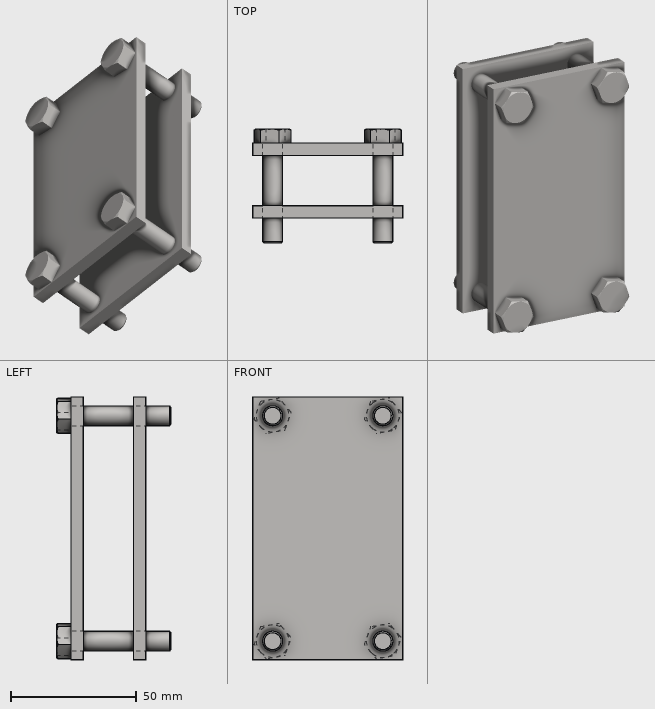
import cadquery as cq
import math

plate_width = 60.0
plate_height = 105.0
plate_thickness = 5.0
plate_gap = 20.0

bolt_spacing_x = 44.0
bolt_spacing_z = 90.0

shank_diameter = 8.0
shank_length = 40.0
tip_chamfer = 0.6
head_height = 5.7
head_across_flats = 13.0
head_bevel_angle = 30.0
bolt_turn = 10.0

back_plate_front_y = plate_thickness + plate_gap
back_plate_back_y = back_plate_front_y + plate_thickness

bolt_centres = [
    (side_x * bolt_spacing_x / 2, side_z * bolt_spacing_z / 2)
    for side_x in (-1, 1)
    for side_z in (-1, 1)
]


def make_plate(front_y):
    """Rectangular plate with four through holes, its front face at front_y."""
    return (
        cq.Workplane("XZ", origin=(0, front_y, 0))
        .rect(plate_width, plate_height)
        .pushPoints(bolt_centres)
        .circle(shank_diameter / 2)
        .extrude(-plate_thickness)
    )


def make_head():
    """Hexagonal head behind Y = 0, its corners bevelled at the back face."""
    corner_radius = head_across_flats / math.sqrt(3)
    face_radius = head_across_flats / 2
    bevel_depth = (corner_radius - face_radius) * math.tan(math.radians(head_bevel_angle))
    hexagon = cq.Workplane("XZ").polygon(6, 2 * corner_radius).extrude(-head_height)
    bevelled_round = (
        cq.Workplane("XY")
        .polyline([
            (0, 0),
            (corner_radius, 0),
            (corner_radius, head_height - bevel_depth),
            (face_radius, head_height),
            (0, head_height),
        ])
        .close()
        .revolve(360, (0, 0, 0), (0, 1, 0))
    )
    return hexagon.intersect(bevelled_round)


def make_shank():
    """Round shank running forward from Y = 0 to a chamfered tip."""
    return (
        cq.Workplane("XZ")
        .circle(shank_diameter / 2)
        .extrude(shank_length)
        .faces("<Y")
        .chamfer(tip_chamfer)
    )


def make_bolt(x, z):
    """Bolt with its head seated on the back of the back plate."""
    return (
        make_shank()
        .union(make_head())
        .rotate((0, 0, 0), (0, -1, 0), bolt_turn)
        .translate((x, back_plate_back_y, z))
    )


front_plate = make_plate(0)
back_plate = make_plate(back_plate_front_y)
bolts = [make_bolt(x, z) for x, z in bolt_centres]

result = cq.Compound.makeCompound([
    front_plate.val(),
    back_plate.val(),
    *[bolt.solids().val() for bolt in bolts],
])